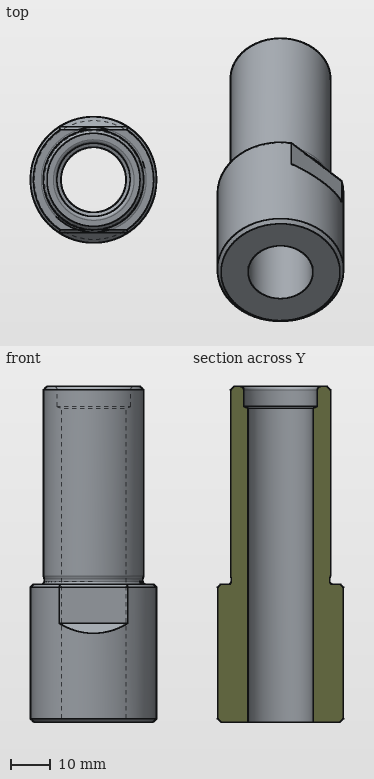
import cadquery as cq

total_length = 85.0
body_diameter = 32.0
tube_diameter = 25.4
neck_diameter = 25.0

shoulder_height = 34.9
neck_fillet_radius = 0.8
neck_top = 36.3
tube_start = 37.1

edge_chamfer = 0.9
shoulder_chamfer = 0.8

bore_diameter = 16.4
counterbore_diameter = 18.5
counterbore_depth = 5.1
counterbore_taper = 0.4
mouth_radius = 0.9

across_flats = 26.9
flat_bottom = 25.1

body_radius = body_diameter / 2
tube_radius = tube_diameter / 2
neck_radius = neck_diameter / 2
bore_radius = bore_diameter / 2
counterbore_radius = counterbore_diameter / 2
flat_offset = across_flats / 2


def turned_blank():
    """Solid of revolution for the body, necked shoulder and tube."""
    profile = (
        cq.Workplane("XZ")
        .lineTo(body_radius - edge_chamfer, 0)
        .lineTo(body_radius, edge_chamfer)
        .lineTo(body_radius, shoulder_height)
        .lineTo(neck_radius + neck_fillet_radius, shoulder_height)
        .radiusArc((neck_radius, shoulder_height + neck_fillet_radius), neck_fillet_radius)
        .lineTo(neck_radius, neck_top)
        .lineTo(tube_radius, tube_start)
        .lineTo(tube_radius, total_length - edge_chamfer)
        .lineTo(tube_radius - edge_chamfer, total_length)
        .lineTo(0, total_length)
        .close()
    )
    return profile.revolve(360, (0, 0, 0), (0, 1, 0))


def flat_cutter():
    """Cutter for the -Y flat, with a 45 degree run-out at its lower end."""
    depth = body_radius - flat_offset
    return (
        cq.Workplane("YZ")
        .moveTo(-flat_offset, flat_bottom)
        .lineTo(-body_radius, flat_bottom - depth)
        .lineTo(-body_radius, shoulder_height)
        .lineTo(-flat_offset + shoulder_chamfer, shoulder_height)
        .lineTo(-flat_offset, shoulder_height - shoulder_chamfer)
        .close()
        .extrude(body_radius, both=True)
    )


def shoulder_chamfer_cutter():
    """Ring that bevels the round part of the shoulder edge."""
    return (
        cq.Workplane("XZ")
        .moveTo(body_radius, shoulder_height - shoulder_chamfer)
        .lineTo(body_radius, shoulder_height)
        .lineTo(body_radius - shoulder_chamfer, shoulder_height)
        .close()
        .revolve(360, (0, 0, 0), (0, 1, 0))
    )


def bore_cutter():
    """Through bore with a round-mouthed counterbore at the tube end."""
    counterbore_floor = total_length - counterbore_depth
    profile = (
        cq.Workplane("XZ")
        .lineTo(bore_radius, 0)
        .lineTo(bore_radius, counterbore_floor - counterbore_taper)
        .lineTo(counterbore_radius, counterbore_floor)
        .lineTo(counterbore_radius, total_length - mouth_radius)
        .radiusArc((counterbore_radius + mouth_radius, total_length), mouth_radius)
        .lineTo(0, total_length)
        .close()
    )
    return profile.revolve(360, (0, 0, 0), (0, 1, 0))


result = turned_blank().cut(shoulder_chamfer_cutter())
for angle in (0, 180):
    result = result.cut(flat_cutter().rotate((0, 0, 0), (0, 0, 1), angle))
result = result.cut(bore_cutter())